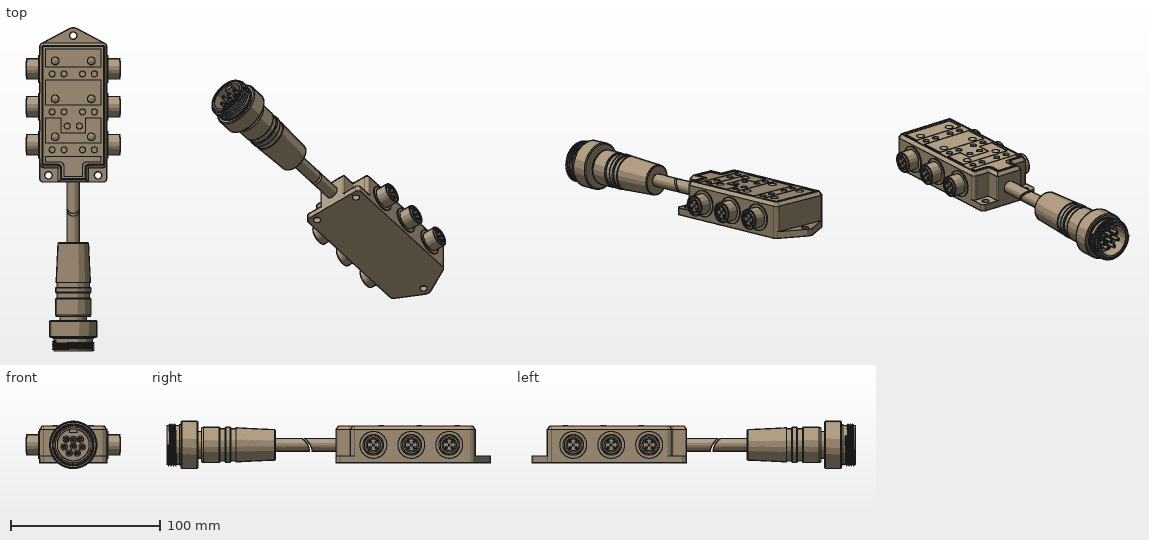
import cadquery as cq
import math


HOUSING_WIDTH = 45.0
BOX_BACK_Y = 93.3
BOX_HEIGHT = 24.7
BOX_CORNER_RADIUS = 2.7
BOX_TOP_CHAMFER_WIDTH = 1.7
BOX_TOP_CHAMFER_HEIGHT = 2.5
SHOULDER_Y = 9.7
NOSE_WIDTH = 20.2
NOSE_CORNER_RADIUS = 0.8
SHOULDER_CORNER_RADIUS = 0.5
PLATE_THICKNESS = 4.7
PLATE_TIP_Y = 103.5
MOUNT_HOLE_DIAMETER = 4.8
TIP_HOLE_Y = 98.1
FRONT_HOLE_X = 16.6
FRONT_HOLE_Y = 4.6

AXIS_Z = 12.0

PORT_PITCH = 25.4
PORT_ROWS = [25.1 + row * PORT_PITCH for row in range(3)]
PORT_SPAN = 63.5
PORT_RADIUS = 6.9
PORT_PAD_RADIUS = 9.0
PORT_PAD_HEIGHT = 0.7
PORT_INSERT_RADIUS = 4.8
PORT_INSERT_PROUD = 0.6
PORT_BORE_RADIUS = 6.0
PORT_BORE_DEPTH = 8.0
PORT_DISH_RADIUS = 3.9
PORT_DISH_DEPTH = 0.3
PORT_CONTACT_CIRCLE_RADIUS = 2.6
PORT_CONTACT_DIAMETER = 1.3
PORT_CONTACT_DEPTH = 5.0

RIM_WIDTH = 0.7
RIM_DEPTH = 0.15
PANEL_Z = BOX_HEIGHT - RIM_DEPTH
LABEL_HALF_WIDTH = 18.6
LABEL_DEPTH = 0.15
LABEL_BACK_Y = 89.2
LABEL_FRONT_OFFSET = 1.1
LABEL_LENGTH = 16.8
NOTCH_HALF_WIDTH = 8.1
NOTCH_FRONT_Y = 33.0
NOSE_LABEL_BACK_Y = 17.4
NOSE_LABEL_SHOULDER_Y = 13.6
NOSE_LABEL_FRONT_Y = 3.7
NOSE_LABEL_HALF_WIDTH = 6.2
NOSE_LABEL_RADIUS = 3.0
LAMP_DIAMETER = 4.0
LAMP_DEPTH = 1.5
LAMP_XS = (-14.1, -6.2, 6.2, 14.1)
LAMP_ROW_OFFSET = -3.4
POWER_LAMP_X = 4.1
POWER_LAMP_Y = 37.6
DOME_RADIUS = 2.6
DOME_HEIGHT = 0.7
DOME_X = 12.1
DOME_ROW_OFFSET = 5.3

CABLE_RADIUS = 4.3
BREAK_GAP = 1.65
BREAK_CURVE = [(-15.9, -4.4), (-17.4, 0.4), (-21.2, 4.4)]

PLUG_BACK_Y = -40.4
TAPER_END_Y = -67.0
RIB_BACK_Y = -70.3
RIB_FRONT_Y = -74.2
GRIP_BACK_Y = -77.5
GRIP_FRONT_Y = -90.0
PLUG_BACK_RADIUS = 10.3
TAPER_END_RADIUS = 11.55
GROOVE_RADIUS = 10.9
GRIP_RADIUS = 11.9
GRIP_CHAMFER_WIDTH = 0.6
GRIP_CHAMFER_LENGTH = 1.3
EDGE_ROUND = 0.6
NECK_RADIUS = 9.0
INSERT_RADIUS = 12.0
INSERT_CAVITY_RADIUS = 10.7
INSERT_CAVITY_DEPTH = 9.0
KEY_WIDTH = 5.2
KEY_INNER_RADIUS = 8.2
PIN_RADIUS = 1.1
PIN_CHAMFER = 0.4
PIN_COLLAR_RADIUS = 2.1
PIN_COLLAR_HEIGHT = 1.0
PIN_SETBACK = 1.5
PIN_CIRCLE_RADIUS = 6.1
PIN_CIRCLE_DIVISIONS = 7
CENTRE_PIN_HEIGHTS = (3.6, -0.8)

NUT_BACK_Y = -92.4
NUT_FRONT_Y = -103.8
OVERALL_LENGTH = 216.52
PLUG_END_Y = PLATE_TIP_Y - OVERALL_LENGTH
NUT_RADIUS = 31.73 / 2
NUT_CHAMFER = 0.7
NUT_STEP_RADIUS = 13.6
NUT_STEP_LENGTH = 0.8
NUT_FLOOR_Y = -96.0
THREAD_ROOT_RADIUS = 13.0
THREAD_CREST_RADIUS = 14.0
THREAD_PITCH = 25.4 / 16
THREAD_FOOT_WIDTH = 0.9 * THREAD_PITCH
THREAD_FOOT_SINK = 0.2
THREAD_LENGTH = 7.1


def box_on_y(half_width, y_front, y_back, z_bottom, z_top):
    """Box centred on X = 0 between the given Y and Z limits."""
    return cq.Workplane("XY").box(
        2 * half_width, y_back - y_front, z_top - z_bottom, centered=(True, False, False)
    ).translate((0, y_front, z_bottom))


def axis_cylinder(radius, y_start, y_end, x=0.0, height=0.0):
    """Cylinder along Y, offset from the cable axis by x and height."""
    return cq.Workplane("XZ", origin=(x, y_start, AXIS_Z + height)).circle(radius).extrude(y_start - y_end)


def revolve_on_axis(profile):
    """Turn a list of (radius, Y) points around the cable axis."""
    return (
        cq.Workplane("XY", origin=(0, 0, AXIS_Z))
        .polyline(profile)
        .close()
        .revolve(360, (0, 0, 0), (0, 1, 0))
    )


def make_plate():
    half = HOUSING_WIDTH / 2
    radius = BOX_CORNER_RADIUS
    tip_radius = PLATE_TIP_Y - TIP_HOLE_Y
    corner_x = half - radius
    corner_y = BOX_BACK_Y - radius
    rise = corner_y - TIP_HOLE_Y
    centre_distance = math.hypot(corner_x, rise)
    normal_angle = math.atan2(rise, corner_x) + math.acos((tip_radius - radius) / centre_distance)
    normal_x = math.cos(normal_angle)
    normal_y = math.sin(normal_angle)
    tip_tangent = (tip_radius * normal_x, TIP_HOLE_Y + tip_radius * normal_y)
    corner_tangent = (corner_x + radius * normal_x, corner_y + radius * normal_y)
    corner_middle = (
        corner_x + radius * math.cos(normal_angle / 2),
        corner_y + radius * math.sin(normal_angle / 2),
    )
    half_plate = (
        cq.Workplane("XY")
        .lineTo(half - radius, 0)
        .radiusArc((half, radius), -radius)
        .lineTo(half, corner_y)
        .threePointArc(corner_middle, corner_tangent)
        .lineTo(*tip_tangent)
        .radiusArc((0, PLATE_TIP_Y), -tip_radius)
        .close()
        .extrude(PLATE_THICKNESS)
    )
    return half_plate.union(half_plate.mirror("YZ"))


def make_box():
    half_nose = NOSE_WIDTH / 2
    main = box_on_y(HOUSING_WIDTH / 2, SHOULDER_Y, BOX_BACK_Y, 0, BOX_HEIGHT)
    main = main.edges("|Z").fillet(BOX_CORNER_RADIUS)
    box = main.union(box_on_y(half_nose, 0, BOX_BACK_Y / 2, 0, BOX_HEIGHT))
    inside_corners = cq.selectors.BoxSelector(
        (-half_nose - 1, SHOULDER_Y - 1, 0), (half_nose + 1, SHOULDER_Y + 1, BOX_HEIGHT)
    )
    box = box.edges("|Z").edges(inside_corners).fillet(SHOULDER_CORNER_RADIUS)
    box = box.faces(">Z").chamfer(BOX_TOP_CHAMFER_WIDTH, BOX_TOP_CHAMFER_HEIGHT)
    box = box.edges("|Z and <Y").fillet(NOSE_CORNER_RADIUS)
    panel = box.faces(">Z").wires().toPending().offset2D(-RIM_WIDTH).extrude(-RIM_DEPTH, combine=False)
    return box.cut(panel)


def make_mount_holes():
    return (
        cq.Workplane("XY")
        .pushPoints([(0, TIP_HOLE_Y), (-FRONT_HOLE_X, FRONT_HOLE_Y), (FRONT_HOLE_X, FRONT_HOLE_Y)])
        .circle(MOUNT_HOLE_DIAMETER / 2)
        .extrude(PLATE_THICKNESS)
    )


def make_label_recesses():
    floor_z = PANEL_Z - LABEL_DEPTH
    recesses = cq.Workplane("XY")
    for row in PORT_ROWS:
        front = row + LABEL_FRONT_OFFSET
        back = min(front + LABEL_LENGTH, LABEL_BACK_Y)
        recesses = recesses.union(box_on_y(LABEL_HALF_WIDTH, front, back, floor_z, BOX_HEIGHT))
    notch_back = PORT_ROWS[0] + LABEL_FRONT_OFFSET + LABEL_LENGTH
    recesses = recesses.cut(box_on_y(NOTCH_HALF_WIDTH, NOTCH_FRONT_Y, notch_back, floor_z, BOX_HEIGHT))

    wide = box_on_y(LABEL_HALF_WIDTH, NOSE_LABEL_SHOULDER_Y, NOSE_LABEL_BACK_Y, floor_z, BOX_HEIGHT)
    narrow = box_on_y(
        NOSE_LABEL_HALF_WIDTH, NOSE_LABEL_FRONT_Y, NOSE_LABEL_BACK_Y, floor_z, BOX_HEIGHT
    )
    inner_corners = cq.selectors.BoxSelector(
        (-NOSE_LABEL_HALF_WIDTH - 1, NOSE_LABEL_SHOULDER_Y - 1, 0),
        (NOSE_LABEL_HALF_WIDTH + 1, NOSE_LABEL_SHOULDER_Y + 1, BOX_HEIGHT),
    )
    nose_label = wide.union(narrow).edges("|Z").edges(inner_corners).fillet(NOSE_LABEL_RADIUS)
    return recesses.union(nose_label)


def make_lamp_recesses():
    centres = [(x, row + LAMP_ROW_OFFSET) for row in PORT_ROWS for x in LAMP_XS]
    centres += [(-POWER_LAMP_X, POWER_LAMP_Y), (POWER_LAMP_X, POWER_LAMP_Y)]
    return (
        cq.Workplane("XY", origin=(0, 0, PANEL_Z - LAMP_DEPTH))
        .pushPoints(centres)
        .circle(LAMP_DIAMETER / 2)
        .extrude(LAMP_DEPTH)
    )


def make_dome(x, y):
    """Shallow spherical cap standing on the label floor."""
    sphere_radius = (DOME_RADIUS**2 + DOME_HEIGHT**2) / (2 * DOME_HEIGHT)
    return (
        cq.Workplane("XZ", origin=(x, y, PANEL_Z - LABEL_DEPTH))
        .lineTo(DOME_RADIUS, 0)
        .radiusArc((0, DOME_HEIGHT), -sphere_radius)
        .close()
        .revolve(360, (0, 0, 0), (0, 1, 0))
    )


def make_port(side, y):
    """One M12 socket pointing along +X (side = 1) or -X (side = -1)."""
    wall = HOUSING_WIDTH / 2
    rim = PORT_SPAN / 2 - PORT_INSERT_PROUD
    tip = PORT_SPAN / 2
    root = wall - BOX_CORNER_RADIUS

    def disc(radius, x_start, x_end):
        return cq.Workplane("YZ", origin=(x_start, y, AXIS_Z)).circle(radius).extrude(x_end - x_start)

    contact_points = [(0, 0)]
    for quarter in range(4):
        angle = math.radians(45 + 90 * quarter)
        contact_points.append(
            (PORT_CONTACT_CIRCLE_RADIUS * math.cos(angle), PORT_CONTACT_CIRCLE_RADIUS * math.sin(angle))
        )
    contacts = (
        cq.Workplane("YZ", origin=(tip - PORT_CONTACT_DEPTH, y, AXIS_Z))
        .pushPoints(contact_points)
        .circle(PORT_CONTACT_DIAMETER / 2)
        .extrude(PORT_CONTACT_DEPTH)
    )
    port = disc(PORT_PAD_RADIUS, root, wall + PORT_PAD_HEIGHT)
    port = port.union(disc(PORT_RADIUS, root, rim))
    port = port.cut(disc(PORT_BORE_RADIUS, rim - PORT_BORE_DEPTH, rim))
    port = port.union(disc(PORT_INSERT_RADIUS, rim - PORT_BORE_DEPTH, tip))
    port = port.cut(disc(PORT_DISH_RADIUS, tip - PORT_DISH_DEPTH, tip)).cut(contacts)
    return port if side > 0 else port.mirror("YZ")


def make_housing(cable_stub):
    housing = make_plate().union(make_box()).cut(make_mount_holes())
    housing = housing.cut(make_label_recesses()).cut(make_lamp_recesses())
    for side in (-1, 1):
        for row in PORT_ROWS:
            housing = housing.union(make_dome(side * DOME_X, row + DOME_ROW_OFFSET))
            housing = housing.union(make_port(side, row))
    return housing.union(cable_stub)


def make_cable_pieces():
    cable = axis_cylinder(CABLE_RADIUS, 0, PLUG_BACK_Y)
    near_side = BREAK_CURVE
    far_side = [(y - BREAK_GAP, height) for y, height in reversed(BREAK_CURVE)]
    gap = (
        cq.Workplane("YZ", origin=(0, 0, AXIS_Z))
        .moveTo(*near_side[0])
        .spline(near_side[1:], includeCurrent=True)
        .lineTo(*far_side[0])
        .spline(far_side[1:], includeCurrent=True)
        .close()
        .extrude(CABLE_RADIUS + 1, both=True)
    )
    parted = cable.cut(gap)
    return parted.solids(">Y"), parted.solids("<Y")


def make_pins():
    centres = [(0, height) for height in CENTRE_PIN_HEIGHTS]
    for step in range(1, PIN_CIRCLE_DIVISIONS):
        angle = math.radians(90 + step * 360 / PIN_CIRCLE_DIVISIONS)
        centres.append((PIN_CIRCLE_RADIUS * math.cos(angle), PIN_CIRCLE_RADIUS * math.sin(angle)))
    floor_y = PLUG_END_Y + INSERT_CAVITY_DEPTH
    pins = cq.Workplane("XY")
    for x, height in centres:
        pin = axis_cylinder(PIN_RADIUS, floor_y, PLUG_END_Y + PIN_SETBACK, x, height)
        pin = pin.faces("<Y").chamfer(PIN_CHAMFER)
        collar = axis_cylinder(PIN_COLLAR_RADIUS, floor_y, floor_y - PIN_COLLAR_HEIGHT, x, height)
        pins = pins.union(pin).union(collar)
    return pins


def make_plug(cable_tail):
    profile = [
        (0, PLUG_BACK_Y),
        (PLUG_BACK_RADIUS - EDGE_ROUND, PLUG_BACK_Y),
        (PLUG_BACK_RADIUS, PLUG_BACK_Y - EDGE_ROUND),
        (TAPER_END_RADIUS, TAPER_END_Y),
        (GROOVE_RADIUS, TAPER_END_Y),
        (GROOVE_RADIUS, RIB_BACK_Y),
        (GRIP_RADIUS - EDGE_ROUND, RIB_BACK_Y),
        (GRIP_RADIUS, RIB_BACK_Y - EDGE_ROUND),
        (GRIP_RADIUS, RIB_FRONT_Y + EDGE_ROUND),
        (GRIP_RADIUS - EDGE_ROUND, RIB_FRONT_Y),
        (GROOVE_RADIUS, RIB_FRONT_Y),
        (GROOVE_RADIUS, GRIP_BACK_Y),
        (GRIP_RADIUS - EDGE_ROUND, GRIP_BACK_Y),
        (GRIP_RADIUS, GRIP_BACK_Y - EDGE_ROUND),
        (GRIP_RADIUS, GRIP_FRONT_Y + GRIP_CHAMFER_LENGTH),
        (GRIP_RADIUS - GRIP_CHAMFER_WIDTH, GRIP_FRONT_Y),
        (NECK_RADIUS, GRIP_FRONT_Y),
        (NECK_RADIUS, NUT_FLOOR_Y),
        (INSERT_RADIUS, NUT_FLOOR_Y),
        (INSERT_RADIUS, PLUG_END_Y),
        (INSERT_CAVITY_RADIUS, PLUG_END_Y),
        (INSERT_CAVITY_RADIUS, PLUG_END_Y + INSERT_CAVITY_DEPTH),
        (0, PLUG_END_Y + INSERT_CAVITY_DEPTH),
    ]
    key_top = (INSERT_CAVITY_RADIUS + INSERT_RADIUS) / 2
    key = box_on_y(
        KEY_WIDTH / 2,
        PLUG_END_Y + PIN_SETBACK,
        PLUG_END_Y + INSERT_CAVITY_DEPTH,
        AXIS_Z + KEY_INNER_RADIUS,
        AXIS_Z + key_top,
    )
    return revolve_on_axis(profile).union(key).union(make_pins()).union(cable_tail)


def make_thread():
    """Triangular helical ridge, its foot sunk a little into the root cylinder."""
    sunk_radius = THREAD_ROOT_RADIUS - THREAD_FOOT_SINK
    half_foot = THREAD_FOOT_WIDTH / 2
    helix = cq.Wire.makeHelix(THREAD_PITCH, THREAD_LENGTH - 2 * half_foot, sunk_radius)
    ridge = (
        cq.Workplane("XZ")
        .polyline([(sunk_radius, -half_foot), (THREAD_CREST_RADIUS, 0), (sunk_radius, half_foot)])
        .close()
        .sweep(cq.Workplane(obj=helix), isFrenet=True)
    )
    return ridge.rotate((0, 0, 0), (1, 0, 0), -90).translate((0, PLUG_END_Y + half_foot, AXIS_Z))


def make_nut():
    step_front_y = NUT_FRONT_Y - NUT_STEP_LENGTH
    profile = [
        (NECK_RADIUS, NUT_BACK_Y),
        (NUT_RADIUS - NUT_CHAMFER, NUT_BACK_Y),
        (NUT_RADIUS, NUT_BACK_Y - NUT_CHAMFER),
        (NUT_RADIUS, NUT_FRONT_Y + NUT_CHAMFER),
        (NUT_RADIUS - NUT_CHAMFER, NUT_FRONT_Y),
        (NUT_STEP_RADIUS, NUT_FRONT_Y),
        (NUT_STEP_RADIUS, step_front_y),
        (THREAD_ROOT_RADIUS, step_front_y),
        (THREAD_ROOT_RADIUS, PLUG_END_Y),
        (INSERT_RADIUS, PLUG_END_Y),
        (INSERT_RADIUS, NUT_FLOOR_Y),
        (NECK_RADIUS, NUT_FLOOR_Y),
    ]
    return revolve_on_axis(profile).union(make_thread())


cable_stub, cable_tail = make_cable_pieces()
housing = make_housing(cable_stub)
plug = make_plug(cable_tail)
coupling_nut = make_nut()

result = cq.Compound.makeCompound([housing.val(), plug.val(), coupling_nut.val()])